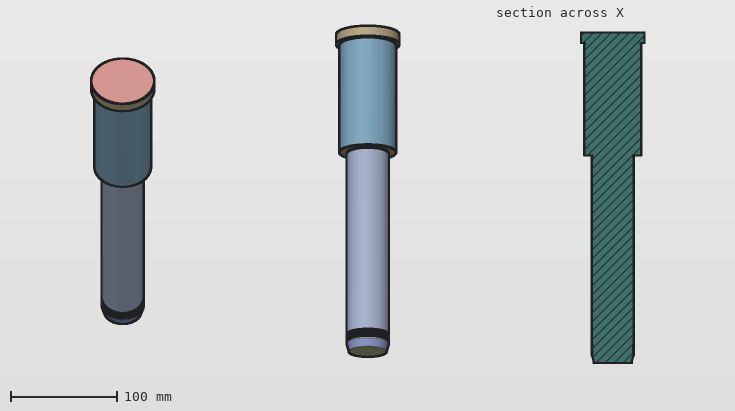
import cadquery as cq
import math

total_length = 311.0
head_diameter = 60.0
body_diameter = 54.0
shaft_diameter = 40.0

head_thickness = 10.0
shaft_length = 195.0
head_underside = total_length - head_thickness

head_chamfer = 0.5
body_chamfer = 0.5
tip_fillet = 0.5

lead_in_length = 8.0
lead_in_angle = 15.0

groove_width = 1.0
groove_depth = 0.5

tip_groove_count = 3
land_width = 2.0
tip_groove_pitch = groove_width + land_width
first_tip_groove_bottom = lead_in_length + land_width

cutter_overlap = 0.05


def cylinder(diameter, bottom, top):
    return cq.Workplane("XY").workplane(offset=bottom).circle(diameter / 2).extrude(top - bottom)


def revolve_about_z(profile):
    return profile.close().revolve(360, (0, 0, 0), (0, 1, 0))


def make_head():
    head = cylinder(head_diameter, head_underside, total_length)
    return head.faces(">Z").edges().chamfer(head_chamfer)


def make_body():
    body = cylinder(body_diameter, shaft_length, head_underside)
    return body.faces("<Z").edges().chamfer(body_chamfer)


def make_shaft():
    shaft_radius = shaft_diameter / 2
    tip_radius = shaft_radius - lead_in_length * math.tan(math.radians(lead_in_angle))
    profile = (
        cq.Workplane("XZ")
        .lineTo(tip_radius, 0)
        .lineTo(shaft_radius, lead_in_length)
        .lineTo(shaft_radius, shaft_length)
        .lineTo(0, shaft_length)
    )
    return revolve_about_z(profile).faces("<Z").edges().fillet(tip_fillet)


def groove_cutter(diameter, bottom):
    """Ring that cuts one groove into a cylinder; its lower wall is a quarter circle."""
    surface_radius = diameter / 2
    floor_radius = surface_radius - groove_depth
    outer_radius = surface_radius + cutter_overlap
    top = bottom + groove_width
    arc_end_height = bottom + groove_depth
    arc_offset = groove_depth * math.sqrt(0.5)
    arc_middle = (surface_radius - arc_offset, arc_end_height - arc_offset)
    profile = (
        cq.Workplane("XZ")
        .moveTo(outer_radius, bottom)
        .lineTo(surface_radius, bottom)
        .threePointArc(arc_middle, (floor_radius, arc_end_height))
        .lineTo(floor_radius, top)
        .lineTo(outer_radius, top)
    )
    return revolve_about_z(profile)


def cut_tip_grooves(pin):
    for index in range(tip_groove_count):
        bottom = first_tip_groove_bottom + index * tip_groove_pitch
        pin = pin.cut(groove_cutter(shaft_diameter, bottom))
    return pin


def cut_shoulder_reliefs(pin):
    """Relief grooves directly below the head and directly below the body."""
    for diameter, shoulder in ((body_diameter, head_underside), (shaft_diameter, shaft_length)):
        pin = pin.cut(groove_cutter(diameter, shoulder - groove_width))
    return pin


result = make_shaft().union(make_body()).union(make_head())
result = cut_tip_grooves(result)
result = cut_shoulder_reliefs(result)